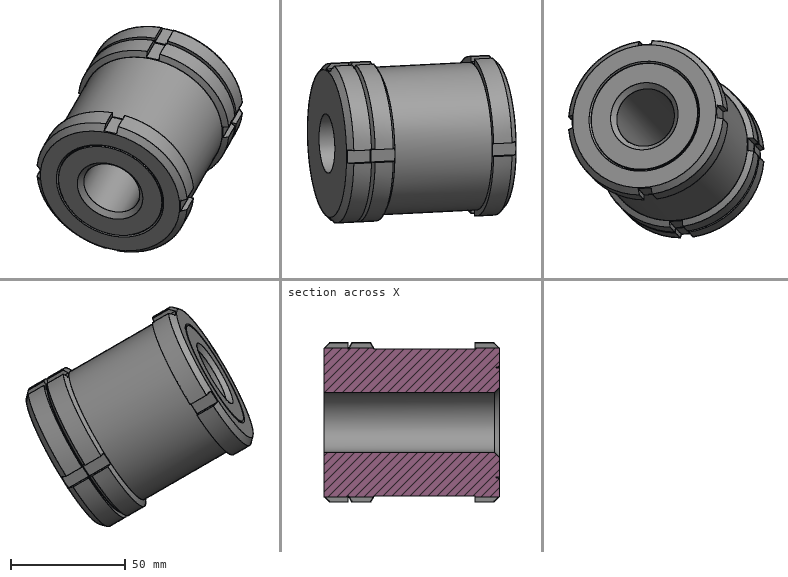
import cadquery as cq

length = 77.0
flange_radius = 70.0 / 2
body_radius = 64.75 / 2
bore_radius = 26.0 / 2

front_collar_width = 10.9
nut_width = 10.6
lock_ring_width = 11.1
ring_gap = 0.2
end_chamfer = 2.6
ring_chamfer_height = 2.55
ring_chamfer_width = 1.5

countersink = 2.2
seam_outer_radius = 48.35 / 2
seam_inner_radius = 48.1 / 2
seam_chamfer = 0.8
seam_depth = 1.55

slot_width = 5.8
slot_floor_radius = 32.65

front = -length / 2
back = length / 2
nut_front = back - nut_width
ring_back = nut_front - ring_gap
ring_front = ring_back - lock_ring_width


def revolve(points):
    """Turn a closed (radius, y) outline about the Y axis."""
    return cq.Workplane("XY").polyline(points).close().revolve(360, (0, 0, 0), (0, 1, 0))


def cylinder(radius, start, width):
    return cq.Workplane("XZ", origin=(0, start, 0)).circle(radius).extrude(-width)


def make_front_collar():
    collar = cylinder(flange_radius, front, front_collar_width)
    return collar.faces("<Y").chamfer(end_chamfer)


def make_nut():
    return cylinder(flange_radius, nut_front, nut_width).faces(">Y").chamfer(end_chamfer)


def make_lock_ring():
    edge_radius = flange_radius - ring_chamfer_height
    return revolve([
        (0, ring_front),
        (edge_radius, ring_front),
        (flange_radius, ring_front + ring_chamfer_width),
        (flange_radius, ring_back - ring_chamfer_width),
        (edge_radius, ring_back),
        (0, ring_back),
    ])


def make_bore():
    return revolve([
        (0, front),
        (bore_radius + countersink, front),
        (bore_radius, front + countersink),
        (bore_radius, back),
        (0, back),
    ])


def make_seam():
    """Narrow ring groove in the front face with a chamfered outer edge."""
    return revolve([
        (seam_inner_radius, front),
        (seam_outer_radius + seam_chamfer, front),
        (seam_outer_radius, front + seam_chamfer),
        (seam_outer_radius, front + seam_depth),
        (seam_inner_radius, front + seam_depth),
    ])


def make_slot(angle):
    """Full-length slot cutter; its floor clears the body between the collars."""
    slot_depth = flange_radius - slot_floor_radius
    cutter = cq.Workplane("XY").box(slot_width, length, slot_depth, centered=(True, True, False))
    return cutter.translate((0, 0, slot_floor_radius)).rotate((0, 0, 0), (0, 1, 0), angle)


result = cylinder(body_radius, front + front_collar_width, ring_front - front - front_collar_width)
result = result.union(cylinder(body_radius, ring_back, ring_gap))
for collar in (make_front_collar(), make_lock_ring(), make_nut()):
    result = result.union(collar)

result = result.cut(make_bore()).cut(make_seam())
for slot_angle in (0, 90, 180, 270):
    result = result.cut(make_slot(slot_angle))